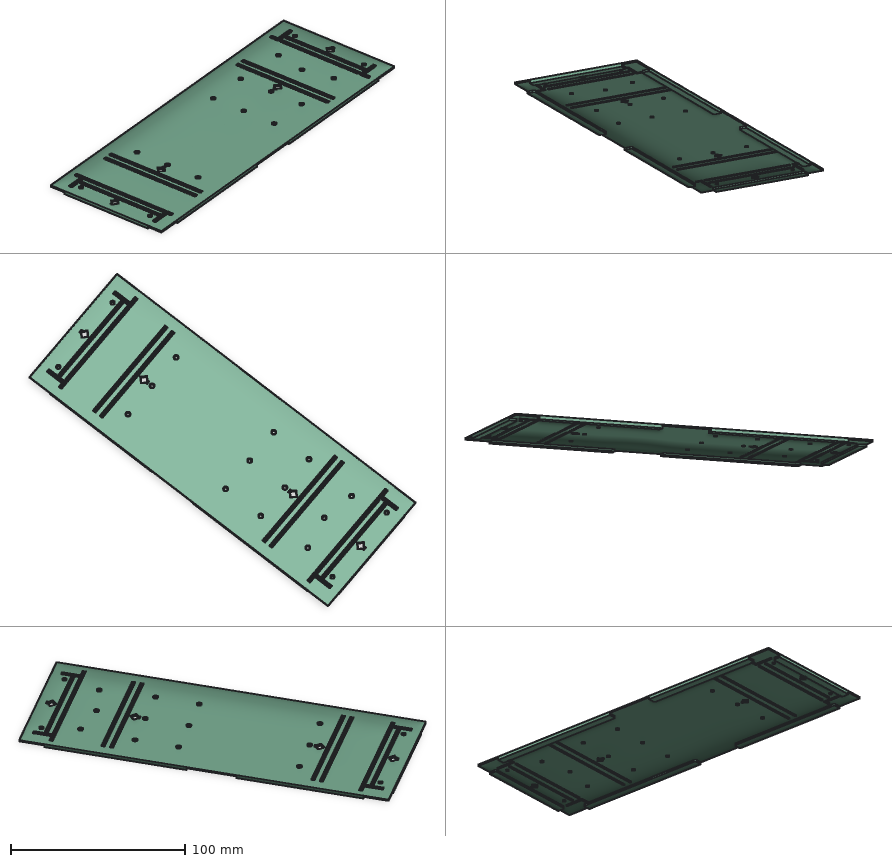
import cadquery as cq

plate_length = 220.0
plate_width = 80.0
total_height = 2.2
sheet_thickness = 1.0
half_length = plate_length / 2
half_width = plate_width / 2

flange_height = total_height - sheet_thickness
flange_depth = 4.8
flange_corner_radius = 1.0
end_flange_length = 60.3
side_flange_spans = [(-95.0, -19.4), (10.3, 95.0)]

chamfer = 0.5
chamfer_angle = 45
slot_width = 2.0
half_slot = slot_width / 2

cross_slot_length = 66.0
cross_slot_rows = [-68.0, -63.0, 57.0, 62.0]

end_slot_length = 56.8
end_slot_rows = [92.2, 97.0]
corner_slot_gap = 0.9
corner_slot_x = end_slot_length / 2 + corner_slot_gap + half_slot
corner_slot_tip = 104.3
foot_reach = 35.6
short_foot_reach = 34.0

diamond_side = 4.2
tail_reach = 3.0
diamonds = [(101.9, 1), (52.1, -1), (-57.9, 1), (-101.6, -1)]

screw_hole_diameter = 2.0
screw_columns = [-22.0, 0.0, 22.0]
screw_rows = [-52.0, 20.0, 46.0]
screw_points = [(x, y) for x in screw_columns for y in screw_rows]
screw_points += [(-20.0, 79.0), (20.0, 79.0), (0.0, 75.0)]
pin_hole_diameter = 1.65
pin_x = 24.9
pin_y = 101.0
pin_points = [(x, y) for x in (-pin_x, pin_x) for y in (-pin_y, pin_y)]


def flange(x_size, y_size, x, y, inner_side):
    """Flat flange with rounded corners on its inner side."""
    blank = cq.Workplane("XY").box(x_size, y_size, flange_height, centered=(True, True, False))
    rounded = blank.edges("|Z").edges(inner_side).fillet(flange_corner_radius)
    return rounded.translate((x, y, 0))


def slot_cutter(x0, x1, y0, y1):
    """Cutter for a rectangular opening; the corners give its size at the top face."""
    x_size = abs(x1 - x0)
    y_size = abs(y1 - y0)
    core = cq.Workplane("XY").rect(x_size - 2 * chamfer, y_size - 2 * chamfer).extrude(total_height)
    top = cq.Workplane("XY").workplane(offset=total_height).rect(x_size, y_size)
    flare = top.extrude(-chamfer, taper=chamfer_angle)
    return core.union(flare).translate(((x0 + x1) / 2, (y0 + y1) / 2, 0))


def hole_cutter(points, diameter):
    """Cutter for round holes; the diameter is that below the chamfer."""
    radius = diameter / 2
    core = cq.Workplane("XY").pushPoints(points).circle(radius).extrude(total_height)
    top = cq.Workplane("XY").workplane(offset=total_height).pushPoints(points).circle(radius + chamfer)
    return core.union(top.extrude(-chamfer, taper=chamfer_angle))


result = cq.Workplane("XY").workplane(offset=flange_height).rect(plate_width, plate_length)
result = result.extrude(sheet_thickness)
side_flange_x = half_width - flange_depth / 2
end_flange_y = half_length - flange_depth / 2
for y0, y1 in side_flange_spans:
    y_middle = (y0 + y1) / 2
    result = result.union(flange(flange_depth, y1 - y0, -side_flange_x, y_middle, ">X"))
    result = result.union(flange(flange_depth, y1 - y0, side_flange_x, y_middle, "<X"))
result = result.union(flange(end_flange_length, flange_depth, 0, -end_flange_y, ">Y"))
result = result.union(flange(end_flange_length, flange_depth, 0, end_flange_y, "<Y"))

cross_slots = [(y, cross_slot_length) for y in cross_slot_rows]
cross_slots += [(end * y, end_slot_length) for end in (-1, 1) for y in end_slot_rows]
for y, length in cross_slots:
    result = result.cut(slot_cutter(-length / 2, length / 2, y - half_slot, y + half_slot))

leg_start = end_slot_rows[0] - half_slot
for end in (-1, 1):
    for side in (-1, 1):
        reach = short_foot_reach if (side, end) == (1, -1) else foot_reach
        x_inner = side * (corner_slot_x - half_slot)
        x_outer = side * (corner_slot_x + half_slot)
        y_inner = end * leg_start
        y_outer = end * (leg_start + slot_width)
        result = result.cut(slot_cutter(x_inner, x_outer, y_inner, end * corner_slot_tip))
        result = result.cut(slot_cutter(x_inner, side * reach, y_inner, y_outer))

half_side = diamond_side / 2
for y, tail_direction in diamonds:
    square = slot_cutter(-half_side, half_side, -half_side, half_side)
    result = result.cut(square.rotate((0, 0, 0), (0, 0, 1), 45).translate((0, y, 0)))
    result = result.cut(slot_cutter(-half_slot, half_slot, y, y + tail_direction * tail_reach))

result = result.cut(hole_cutter(screw_points, screw_hole_diameter))
result = result.cut(hole_cutter(pin_points, pin_hole_diameter))